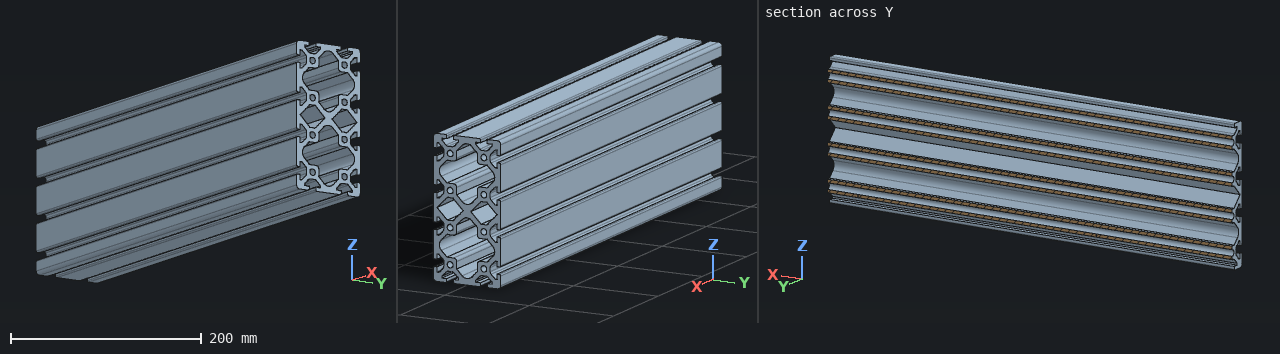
import cadquery as cq
import math

length = 500.0
module = 40.0
columns = 2
rows = 4
corner_radius = 4.0

slot_opening = 8.0
lip_thickness = 4.5
lip_round = 1.5
slot_inner_width = 19.5
slot_wall_end = 6.5
slot_depth = 12.5
slot_floor_width = 4.5
slot_flank_angle = 45.0

core_width = 15.5
core_radius = 3.5
bore_radius = 3.4

chamber_reach = 36.0
chamber_tip_radius = 8.0

middle_half_width = 15.5
middle_half_height = (module - core_width) / 2

width = columns * module
height = rows * module
column_places = [(column - (columns - 1) / 2) * module for column in range(columns)]
row_places = [(row - (rows - 1) / 2) * module for row in range(rows)]
end_plane = cq.Workplane("YZ")


def make_blank():
    block = end_plane.rect(width, height).extrude(length)
    return block.edges("|X").fillet(corner_radius)


def make_slot():
    """T-slot cutter with its mouth at z = 0, running down to -Z, centred on y = 0."""
    half_opening = slot_opening / 2
    half_mouth = half_opening + lip_round
    half_inner = slot_inner_width / 2
    flank_angle = math.radians(slot_flank_angle)
    sharp_half_floor = half_inner - (slot_depth - slot_wall_end) / math.tan(flank_angle)
    slot = (
        end_plane.moveTo(-half_mouth, 0)
        .lineTo(half_mouth, 0)
        .radiusArc((half_opening, -lip_round), -lip_round)
        .lineTo(half_opening, -lip_thickness)
        .lineTo(half_inner, -lip_thickness)
        .lineTo(half_inner, -slot_wall_end)
        .lineTo(sharp_half_floor, -slot_depth)
        .lineTo(-sharp_half_floor, -slot_depth)
        .lineTo(-half_inner, -slot_wall_end)
        .lineTo(-half_inner, -lip_thickness)
        .lineTo(-half_opening, -lip_thickness)
        .lineTo(-half_opening, -lip_round)
        .radiusArc((-half_mouth, 0), -lip_round)
        .close()
        .extrude(length)
    )
    floor_radius = (sharp_half_floor - slot_floor_width / 2) / math.tan(flank_angle / 2)
    return slot.edges("|X").edges("<Z").fillet(floor_radius)


def cut_slots(body, face_angle, face_reach, places):
    """Cut slots into the face that the top face becomes when turned by face_angle about X."""
    slot = make_slot()
    for place in places:
        placed_slot = slot.translate((0, place, face_reach))
        body = body.cut(placed_slot.rotate((0, 0, 0), (1, 0, 0), face_angle))
    return body


def make_chamber():
    """Large chamber centred between four screw cores, which stay standing in it."""
    tips = [(chamber_reach, 0), (0, chamber_reach), (-chamber_reach, 0), (0, -chamber_reach)]
    chamber = end_plane.polyline(tips).close().extrude(length)
    chamber = chamber.edges("|X").fillet(chamber_tip_radius)
    cores = end_plane.rarray(module, module, 2, 2).rect(core_width, core_width).extrude(length)
    return chamber.cut(cores.edges("|X").fillet(core_radius))


def make_middle_chamber():
    half_flat = middle_half_width - middle_half_height
    outline = [
        (middle_half_width, 0),
        (half_flat, middle_half_height),
        (-half_flat, middle_half_height),
        (-middle_half_width, 0),
        (-half_flat, -middle_half_height),
        (half_flat, -middle_half_height),
    ]
    return end_plane.polyline(outline).close().extrude(length)


def make_bores():
    return end_plane.rarray(module, module, columns, rows).circle(bore_radius).extrude(length)


result = make_blank()

for face_angle in (0, 180):
    result = cut_slots(result, face_angle, height / 2, column_places)
for face_angle in (90, 270):
    result = cut_slots(result, face_angle, width / 2, row_places)

for z in (-module, module):
    result = result.cut(make_chamber().translate((0, 0, z)))
for y in column_places:
    result = result.cut(make_middle_chamber().translate((0, y, 0)))

result = result.cut(make_bores())